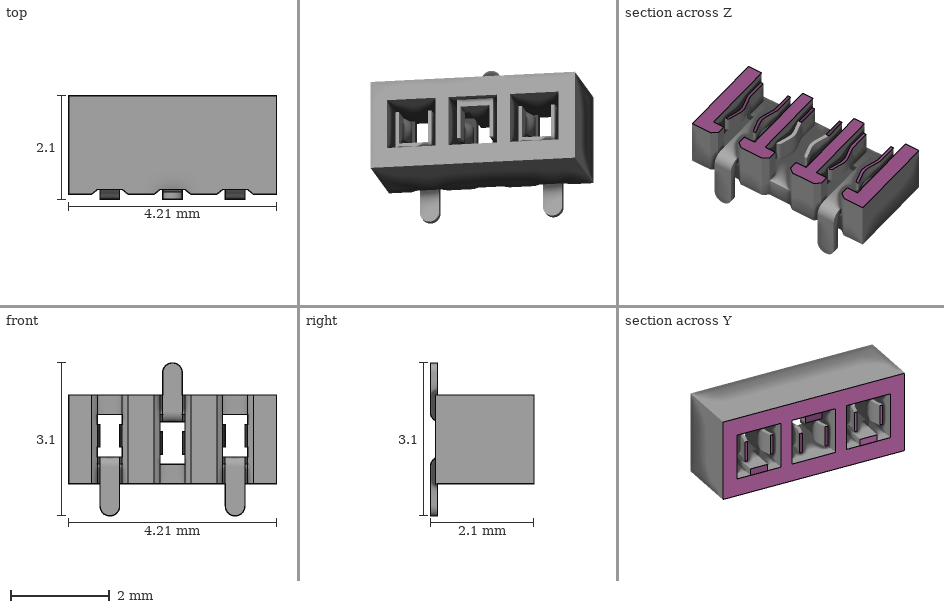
import cadquery as cq
import math


housing_length = 4.21
housing_depth = 2.0
housing_height = 1.8
pitch = 1.267
row_middle = -0.005
contact_places = (row_middle - pitch, row_middle, row_middle + pitch)

groove_depth = 0.095
groove_floor_width = 0.5
groove_mouth_width = 0.74

cavity_size = 1.0
front_wall_thickness = 0.2
cavity_front = groove_depth + front_wall_thickness
slot_width = groove_floor_width

sheet_thickness = 0.147
tail_width = 0.4
tail_overhang = 0.65
tail_projection = 0.1
bend_outer_radius = 0.198
bend_inner_radius = bend_outer_radius - sheet_thickness
base_outer_face = -cavity_size / 2
base_inner_face = base_outer_face + sheet_thickness
tail_round_radius = tail_width / 2
tail_round_middle = -housing_height / 2 - tail_overhang + tail_round_radius

arm_thickness = 0.075
arm_height = 0.46
arm_tip_setback = 0.22
arm_tip_half_gap = 0.3
arm_apex_half_gap = 0.198
arm_lean = math.radians(17)
arm_apex_radius = 0.38
arm_tip_radius = 0.055
arc_half_length = arm_apex_radius * math.sin(arm_lean)
arc_end_half_gap = arm_apex_half_gap + arm_apex_radius * (1 - math.cos(arm_lean))
straight_length = (arm_tip_half_gap - arc_end_half_gap) / math.tan(arm_lean)
arm_tip = cavity_front + arm_tip_setback
arm_apex = arm_tip + straight_length + arc_half_length
arm_middle = (base_inner_face + cavity_size / 2) / 2
arm_bottom = arm_middle - arm_height / 2
arm_top = arm_middle + arm_height / 2

channel_width = 2 * (arm_tip_half_gap + arm_thickness)
channel_front = 2 * arm_apex - arm_tip
channel_back = 1.77


def box(x_size, y_range, z_range, x_middle=0.0):
    """Box centred on x_middle in X, between the given Y and Z limits."""
    y_start, y_end = y_range
    z_start, z_end = z_range
    return cq.Workplane("XY").box(x_size, y_end - y_start, z_end - z_start).translate(
        (x_middle, (y_start + y_end) / 2, (z_start + z_end) / 2)
    )


def front_groove(x_middle):
    """Full-height groove whose sides slope in to a flat floor."""
    return (
        cq.Workplane("XY", origin=(x_middle, 0, -housing_height / 2))
        .moveTo(-groove_mouth_width / 2, 0)
        .lineTo(groove_mouth_width / 2, 0)
        .lineTo(groove_floor_width / 2, groove_depth)
        .lineTo(-groove_floor_width / 2, groove_depth)
        .close()
        .extrude(housing_height)
    )


def make_housing():
    half_height = housing_height / 2
    cavity_z = (-cavity_size / 2, cavity_size / 2)
    body = box(housing_length, (0, housing_depth), (-half_height, half_height))
    for x_middle in contact_places:
        cavity = box(cavity_size, (cavity_front, housing_depth), cavity_z, x_middle)
        slot = box(slot_width, (0, cavity_front), cavity_z, x_middle)
        body = body.cut(front_groove(x_middle)).cut(cavity).cut(slot)
    return body


def make_tail():
    """Strip that leaves the slot, bends down and ends in a full round."""
    front = -tail_projection
    back = front + sheet_thickness
    bend_back = front + bend_outer_radius
    strip = (
        cq.Workplane("YZ", origin=(-tail_width / 2, 0, 0))
        .moveTo(front, tail_round_middle)
        .lineTo(front, base_inner_face - bend_outer_radius)
        .radiusArc((bend_back, base_inner_face), bend_outer_radius)
        .lineTo(cavity_front, base_inner_face)
        .lineTo(cavity_front, base_outer_face)
        .lineTo(bend_back, base_outer_face)
        .radiusArc((back, base_outer_face - bend_inner_radius), -bend_inner_radius)
        .lineTo(back, tail_round_middle)
        .close()
        .extrude(tail_width)
    )
    round_end = (
        cq.Workplane("XZ", origin=(0, back, tail_round_middle))
        .circle(tail_round_radius)
        .extrude(sheet_thickness)
    )
    return strip.union(round_end)


def make_arm():
    """Spring arm on the +X side, from its rounded tip back to the channel wall."""
    arc_front = arm_apex - arc_half_length
    arc_back = arm_apex + arc_half_length
    arm = (
        cq.Workplane("XY", origin=(0, 0, arm_bottom))
        .moveTo(arm_tip_half_gap, arm_tip)
        .lineTo(arc_end_half_gap, arc_front)
        .threePointArc((arm_apex_half_gap, arm_apex), (arc_end_half_gap, arc_back))
        .lineTo(arm_tip_half_gap, channel_front)
        .lineTo(arm_tip_half_gap + arm_thickness, channel_front)
        .lineTo(arc_end_half_gap + arm_thickness, arc_back)
        .threePointArc(
            (arm_apex_half_gap + arm_thickness, arm_apex),
            (arc_end_half_gap + arm_thickness, arc_front),
        )
        .lineTo(arm_tip_half_gap + arm_thickness, arm_tip)
        .close()
        .extrude(arm_height)
    )
    return arm.faces("<Y").edges("|Z").edges("<X").fillet(arm_tip_radius)


def make_contact():
    """Contact with its base on the cavity floor and its tail pointing down."""
    base_z = (base_outer_face, base_inner_face)
    channel_y = (channel_front, channel_back)
    base = box(tail_width, (cavity_front, channel_back), base_z)
    channel_floor = box(channel_width, channel_y, base_z)
    wall_middle = arm_tip_half_gap + arm_thickness / 2
    wall = box(arm_thickness, channel_y, (base_outer_face, arm_top), wall_middle)
    side = wall.union(make_arm())
    return base.union(channel_floor).union(make_tail()).union(side).union(side.mirror("YZ"))


housing = make_housing()

contacts = []
for x_middle in contact_places:
    contact = make_contact()
    if x_middle == row_middle:
        contact = contact.rotate((0, 0, 0), (0, 1, 0), 180)
    contacts.append(contact.translate((x_middle, 0, 0)))

result = cq.Compound.makeCompound([housing.val(), *[contact.val() for contact in contacts]])